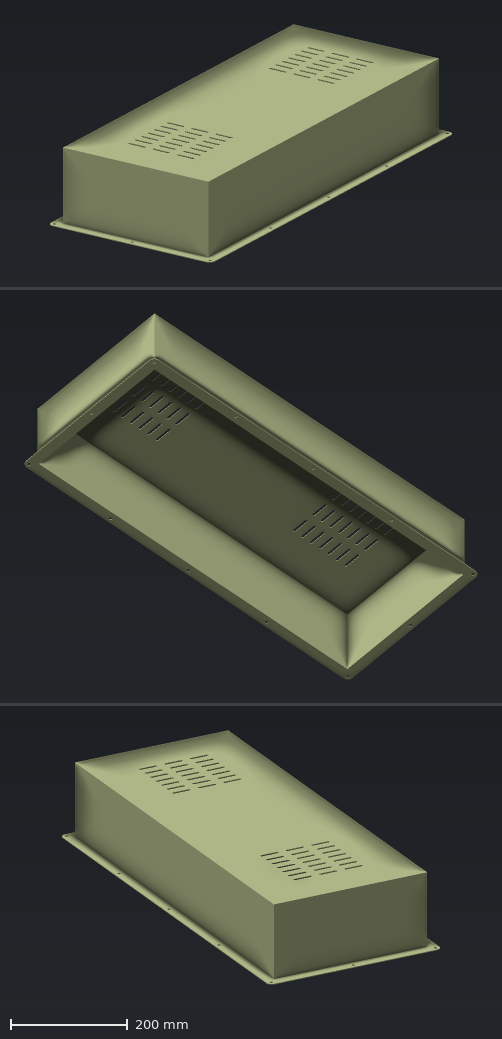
import cadquery as cq

LENGTH = 754.0
WIDTH = 337.0
HEIGHT = 140.0
SHEET = 1.5

FLANGE = 19.0
FLANGE_CORNER_RADIUS = 10.5
HOLE_DIAMETER = 5.65
HOLE_EDGE_OFFSET = 8.0
SIDE_HOLE_PITCH = 180.0

SLOT_LENGTH = 35.5
SLOT_WIDTH = 5.0
SLOT_COLUMNS = 3
SLOT_ROWS = 7
SLOT_COLUMN_PITCH = 50.0
INNER_ROW_Y = 158.0
OUTER_ROW_Y = 278.0
SLOT_ROW_PITCH = (OUTER_ROW_Y - INNER_ROW_Y) / (SLOT_ROWS - 1)
VENT_CENTER_Y = (INNER_ROW_Y + OUTER_ROW_Y) / 2

BOX_WIDTH = WIDTH - 2 * FLANGE
BOX_LENGTH = LENGTH - 2 * FLANGE


def make_cover():
    """Thin-walled box, open at the bottom, with an outward flange at its foot."""
    flange = (
        cq.Workplane("XY")
        .rect(WIDTH, LENGTH)
        .extrude(SHEET)
        .edges("|Z")
        .fillet(FLANGE_CORNER_RADIUS)
    )
    box = cq.Workplane("XY").rect(BOX_WIDTH, BOX_LENGTH).extrude(HEIGHT)
    cavity = (
        cq.Workplane("XY")
        .rect(BOX_WIDTH - 2 * SHEET, BOX_LENGTH - 2 * SHEET)
        .extrude(HEIGHT - SHEET)
    )
    return flange.union(box).cut(cavity)


def flange_hole_points():
    """Five holes along each long side and one midway along each short side."""
    x = WIDTH / 2 - HOLE_EDGE_OFFSET
    y = LENGTH / 2 - HOLE_EDGE_OFFSET
    points = [(0, -y), (0, y)]
    for side_x in (-x, x):
        for hole_y in (-y, -SIDE_HOLE_PITCH, 0, SIDE_HOLE_PITCH, y):
            points.append((side_x, hole_y))
    return points


def make_flange_holes():
    """Round screw holes through the flange."""
    return (
        cq.Workplane("XY")
        .pushPoints(flange_hole_points())
        .circle(HOLE_DIAMETER / 2)
        .extrude(SHEET)
    )


def make_vent(center_y):
    """Grid of round-ended slots through the top panel."""
    return (
        cq.Workplane("XY", origin=(0, center_y, HEIGHT - SHEET))
        .rarray(SLOT_COLUMN_PITCH, SLOT_ROW_PITCH, SLOT_COLUMNS, SLOT_ROWS)
        .slot2D(SLOT_LENGTH, SLOT_WIDTH)
        .extrude(SHEET)
    )


result = make_cover().cut(make_flange_holes())
for vent_y in (-VENT_CENTER_Y, VENT_CENTER_Y):
    result = result.cut(make_vent(vent_y))